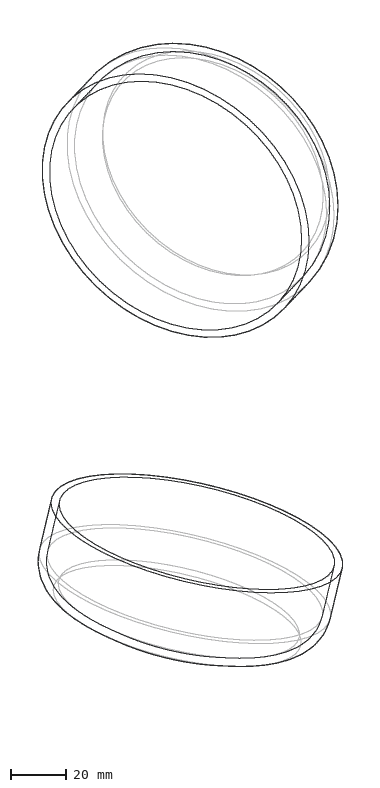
import cadquery as cq
import math

outer_diameter = 108.0
inner_diameter = 102.0
skirt_length = 20.0
inner_crown_radius = 108.0
inner_knuckle_radius = 10.8

wall = (outer_diameter - inner_diameter) / 2
inner_radius = inner_diameter / 2


def arc_point(center_x, center_y, radius, angle_from_axis):
    """Point on an arc, with the angle measured from the +Y direction towards +X."""
    return (
        center_x + radius * math.sin(angle_from_axis),
        center_y + radius * math.cos(angle_from_axis),
    )


def dome_solid(offset):
    """Solid filling the cavity, grown outwards by offset, from the rim plane to the apex."""
    skirt_radius = inner_radius + offset
    knuckle = inner_knuckle_radius + offset
    crown = inner_crown_radius + offset

    knuckle_center_x = skirt_radius - knuckle
    center_distance = crown - knuckle
    crown_center_y = skirt_length - math.sqrt(center_distance**2 - knuckle_center_x**2)
    crown_angle = math.asin(knuckle_center_x / center_distance)
    knuckle_mid_angle = (crown_angle + math.pi / 2) / 2

    knuckle_middle = arc_point(knuckle_center_x, skirt_length, knuckle, knuckle_mid_angle)
    tangent_point = arc_point(0, crown_center_y, crown, crown_angle)
    crown_middle = arc_point(0, crown_center_y, crown, crown_angle / 2)
    apex = (0, crown_center_y + crown)

    return (
        cq.Workplane("XY")
        .lineTo(skirt_radius, 0)
        .lineTo(skirt_radius, skirt_length)
        .threePointArc(knuckle_middle, tangent_point)
        .threePointArc(crown_middle, apex)
        .close()
        .revolve(360, (0, 0, 0), (0, 1, 0))
    )


result = dome_solid(wall).cut(dome_solid(0))